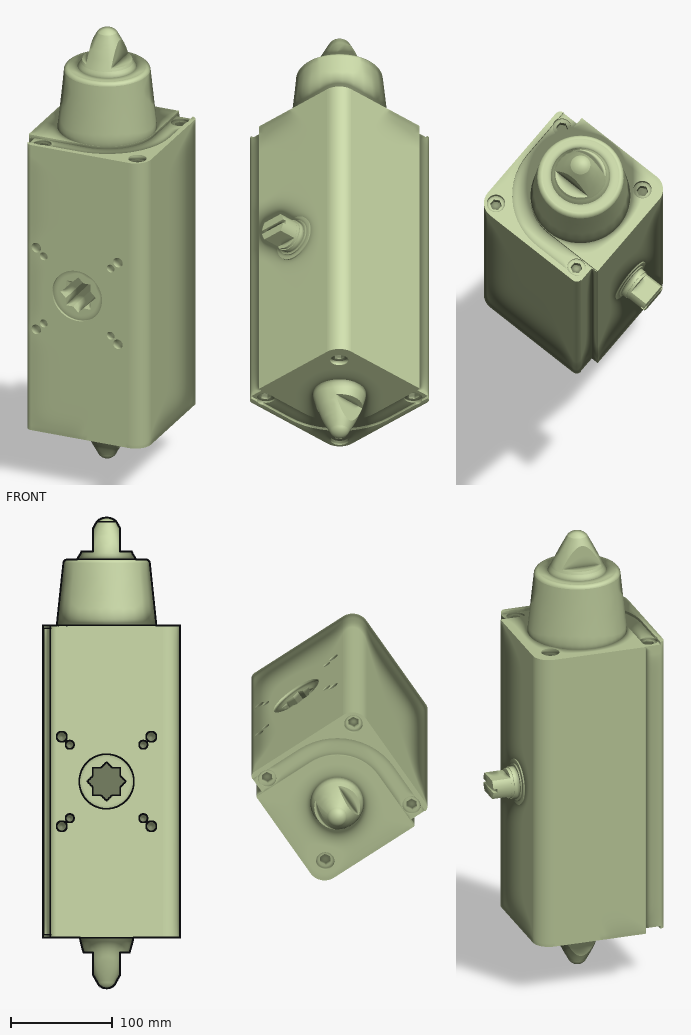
import cadquery as cq
import math

BODY_HEIGHT = 307.5
BODY_TOP = BODY_HEIGHT / 2
INNER_SIDE = 62.5
OUTER_SIDE = 72.5
NOTCH_WALL = 50.0
NOTCH_FLOOR = 55.5
BIG_CORNER = 16.5
SMALL_CORNER = 6.0
EDGE_CHAMFER = 1.0

RECESS_DEPTH = 3.0
RECESS_INNER = 49.5
RECESS_OUTER = 67.0

SCREW_CENTRE = (8.0, -8.0)
SCREW_SPACING = 102.5
SCREW_BORE_DIAMETER = 18.0
SCREW_BORE_DEPTH = 4.5
SOCKET_DIAMETER = 11.5
SOCKET_DEPTH = 7.0

MOUNTING_HOLES = [(8.5, 36.0), (10.0, 44.0)]
MOUNTING_HOLE_DEPTH = 14.0
DRILL_TIP_ANGLE = 118

COVER_BASE_RADIUS = 49.0
COVER_SHOULDER_RADIUS = 42.5
COVER_SHOULDER_HEIGHT = 61.5
COVER_TOP_RADIUS = 37.5
COVER_TOP_HEIGHT = 65.0
PEDESTAL_RADIUS = 29.0

KNOB_THICKNESS = 27.0
KNOB_RADIUS = 26.0
KNOB_TIP_RADIUS = 9.7
TOP_KNOB_START = 70.0
TOP_KNOB_FLAT_START = 73.0
TOP_KNOB_CAP_START = 102.0
TOP_KNOB_END = 106.0
TOP_KNOB_BULGE = 0.5
BOTTOM_COLLAR_RADIUS = 26.5
BOTTOM_KNOB_START = 3.0
BOTTOM_KNOB_FLAT_START = 15.0
BOTTOM_KNOB_CAP_START = 43.0
BOTTOM_KNOB_END = 50.0
BOTTOM_KNOB_BULGE = 2.0

SHAFT_DIAMETER = 54.0
SHAFT_RECESS = 3.0
SHAFT_SHOULDER_Y = 53.5
SHAFT_STEPS = [(46.0, 64.0), (37.0, 65.5), (32.0, 71.0), (30.0, 73.5), (29.5, 92.5)]
SHAFT_END_Y = SHAFT_STEPS[-1][1]
STUB_FLAT_START_Y = SHAFT_STEPS[-2][1]
STUB_FLATS = 19.5
SLOT_WIDTH = 3.5
SLOT_DEPTH = 4.0
STAR_SQUARE = 27.0
STAR_DEPTH = 69.5


def cylinder_along_y(diameter, start, end):
    plane = cq.Workplane("XZ", origin=(0, start, 0))
    return plane.circle(diameter / 2).extrude(start - end)


def make_block():
    """Extruded block with a notch at the (-X, -Y) and at the (+X, +Y) corner."""
    outline = [
        (-INNER_SIDE, INNER_SIDE),
        (NOTCH_WALL, INNER_SIDE),
        (NOTCH_WALL, NOTCH_FLOOR),
        (OUTER_SIDE, NOTCH_FLOOR),
        (OUTER_SIDE, -OUTER_SIDE),
        (-NOTCH_FLOOR, -OUTER_SIDE),
        (-NOTCH_FLOOR, -NOTCH_WALL),
        (-INNER_SIDE, -NOTCH_WALL),
    ]
    block = cq.Workplane("XY").workplane(offset=-BODY_TOP).polyline(outline).close().extrude(BODY_HEIGHT)

    def upright_edges(*corners):
        tolerance = 0.5
        edges = cq.Workplane("XY").newObject([])
        for x, y in corners:
            box = cq.selectors.BoxSelector(
                (x - tolerance, y - tolerance, -tolerance), (x + tolerance, y + tolerance, tolerance)
            )
            edges = edges.add(block.edges(box))
        return block.newObject(edges.vals())

    block = upright_edges((-INNER_SIDE, INNER_SIDE), (OUTER_SIDE, -OUTER_SIDE)).fillet(BIG_CORNER)
    block = upright_edges((OUTER_SIDE, NOTCH_FLOOR), (-NOTCH_FLOOR, -OUTER_SIDE)).fillet(SMALL_CORNER)
    return upright_edges((NOTCH_WALL, INNER_SIDE), (-INNER_SIDE, -NOTCH_WALL)).chamfer(EDGE_CHAMFER)


def end_recess(bottom):
    """Round-cornered L recess between the square part of an end face and its outer rim."""
    outer_mid = RECESS_OUTER * math.sqrt(0.5)
    inner_mid = RECESS_INNER * math.sqrt(0.5)
    return (
        cq.Workplane("XY")
        .workplane(offset=bottom)
        .moveTo(RECESS_INNER, OUTER_SIDE)
        .lineTo(RECESS_OUTER, OUTER_SIDE)
        .lineTo(RECESS_OUTER, 0)
        .threePointArc((outer_mid, -outer_mid), (0, -RECESS_OUTER))
        .lineTo(-OUTER_SIDE, -RECESS_OUTER)
        .lineTo(-OUTER_SIDE, -RECESS_INNER)
        .lineTo(0, -RECESS_INNER)
        .threePointArc((inner_mid, -inner_mid), (RECESS_INNER, 0))
        .close()
        .extrude(RECESS_DEPTH)
    )


def screw_bores(start, direction):
    """Screw head bores with hexagon sockets, cut from an end face into the block."""
    plane = cq.Workplane("XY", origin=(*SCREW_CENTRE, start))
    bores = (
        plane.rect(SCREW_SPACING, SCREW_SPACING, forConstruction=True)
        .vertices()
        .circle(SCREW_BORE_DIAMETER / 2)
        .extrude(direction * SCREW_BORE_DEPTH)
    )
    sockets = (
        plane.rect(SCREW_SPACING, SCREW_SPACING, forConstruction=True)
        .vertices()
        .polygon(6, SOCKET_DIAMETER)
        .extrude(direction * (SCREW_BORE_DEPTH + SOCKET_DEPTH))
    )
    return bores.union(sockets)


def drilled_hole(diameter, x, z):
    """Blind hole with a conical bottom, drilled into the -Y face."""
    radius = diameter / 2
    tip = radius / math.tan(math.radians(DRILL_TIP_ANGLE / 2))
    profile = [(0, 0), (radius, 0), (radius, MOUNTING_HOLE_DEPTH), (0, MOUNTING_HOLE_DEPTH + tip)]
    return (
        cq.Workplane("XY")
        .polyline(profile)
        .close()
        .revolve(360, (0, 0, 0), (0, 1, 0))
        .translate((x, -OUTER_SIDE, z))
    )


def make_cover():
    """Tapered cover with a rounded rim and a low conical pedestal."""
    rim = COVER_TOP_HEIGHT - COVER_SHOULDER_HEIGHT
    rim_mid = (
        COVER_TOP_RADIUS + (COVER_SHOULDER_RADIUS - COVER_TOP_RADIUS) * math.sqrt(0.5),
        COVER_SHOULDER_HEIGHT + rim * math.sqrt(0.5),
    )
    return (
        cq.Workplane("XZ")
        .moveTo(0, 0)
        .lineTo(COVER_BASE_RADIUS, 0)
        .lineTo(COVER_SHOULDER_RADIUS, COVER_SHOULDER_HEIGHT)
        .threePointArc(rim_mid, (COVER_TOP_RADIUS, COVER_TOP_HEIGHT))
        .lineTo(PEDESTAL_RADIUS, COVER_TOP_HEIGHT)
        .lineTo(KNOB_RADIUS, TOP_KNOB_START)
        .lineTo(0, TOP_KNOB_START)
        .close()
        .revolve(360, (0, 0, 0), (0, 1, 0))
    )


def make_bottom_collar():
    profile = [(0, 0), (BOTTOM_COLLAR_RADIUS, 0), (KNOB_RADIUS, BOTTOM_KNOB_START), (0, BOTTOM_KNOB_START)]
    return cq.Workplane("XZ").polyline(profile).close().revolve(360, (0, 0, 0), (0, 1, 0))


def make_knob(start, flat_start, cap_start, end, bulge):
    """Domed knob with a rounded tip and two flats facing +X and -X."""
    side_mid = ((KNOB_RADIUS + KNOB_TIP_RADIUS) / 2 + bulge, (start + cap_start) / 2)
    cap_height = end - cap_start
    cap_radius = (KNOB_TIP_RADIUS**2 + cap_height**2) / (2 * cap_height)
    cap_mid_x = KNOB_TIP_RADIUS / 2
    cap_mid_z = end - cap_radius + math.sqrt(cap_radius**2 - cap_mid_x**2)
    knob = (
        cq.Workplane("XZ")
        .moveTo(0, start)
        .lineTo(KNOB_RADIUS, start)
        .threePointArc(side_mid, (KNOB_TIP_RADIUS, cap_start))
        .threePointArc((cap_mid_x, cap_mid_z), (0, end))
        .close()
        .revolve(360, (0, 0, 0), (0, 1, 0))
    )
    for side in (-1, 1):
        cutter = cq.Workplane("XY").box(
            KNOB_RADIUS, 2 * COVER_BASE_RADIUS, end - flat_start, centered=(True, True, False)
        )
        knob = knob.cut(cutter.translate((side * (KNOB_THICKNESS + KNOB_RADIUS) / 2, 0, flat_start)))
    return knob


def make_housing():
    housing = make_block()

    housing = housing.cut(end_recess(BODY_TOP - RECESS_DEPTH))
    housing = housing.cut(end_recess(-BODY_TOP))
    housing = housing.cut(screw_bores(BODY_TOP, -1))
    housing = housing.cut(screw_bores(-BODY_TOP, 1))

    for diameter, offset in MOUNTING_HOLES:
        for x_side in (-1, 1):
            for z_side in (-1, 1):
                housing = housing.cut(drilled_hole(diameter, x_side * offset, z_side * offset))

    top_knob = make_knob(
        TOP_KNOB_START, TOP_KNOB_FLAT_START, TOP_KNOB_CAP_START, TOP_KNOB_END, TOP_KNOB_BULGE
    )
    bottom_knob = make_knob(
        BOTTOM_KNOB_START, BOTTOM_KNOB_FLAT_START, BOTTOM_KNOB_CAP_START, BOTTOM_KNOB_END, BOTTOM_KNOB_BULGE
    )
    top_end = make_cover().union(top_knob).translate((0, 0, BODY_TOP))
    bottom_end = make_bottom_collar().union(bottom_knob).mirror("XY").translate((0, 0, -BODY_TOP))
    housing = housing.union(top_end).union(bottom_end)

    housing = housing.cut(cylinder_along_y(SHAFT_DIAMETER, -OUTER_SIDE, SHAFT_SHOULDER_Y))
    return housing.cut(cylinder_along_y(SHAFT_STEPS[0][0], SHAFT_SHOULDER_Y, INNER_SIDE))


def make_shaft():
    front = -OUTER_SIDE + SHAFT_RECESS
    shaft = cylinder_along_y(SHAFT_DIAMETER, front, SHAFT_SHOULDER_Y)
    start = SHAFT_SHOULDER_Y
    for diameter, end in SHAFT_STEPS:
        shaft = shaft.union(cylinder_along_y(diameter, start, end))
        start = end

    for angle in (0, 45):
        square = cq.Workplane("XY").box(STAR_SQUARE, STAR_DEPTH, STAR_SQUARE)
        square = square.rotate((0, 0, 0), (0, 1, 0), angle)
        shaft = shaft.cut(square.translate((0, front + STAR_DEPTH / 2, 0)))

    flat_length = SHAFT_END_Y - STUB_FLAT_START_Y
    for side in (-1, 1):
        cutter = cq.Workplane("XY").box(SHAFT_DIAMETER, flat_length, STUB_FLATS)
        shaft = shaft.cut(cutter.translate((0, STUB_FLAT_START_Y + flat_length / 2, side * STUB_FLATS)))
    slot = cq.Workplane("XY").box(SHAFT_DIAMETER, SLOT_DEPTH, SLOT_WIDTH)
    return shaft.cut(slot.translate((0, SHAFT_END_Y - SLOT_DEPTH / 2, 0)))


housing = make_housing().solids()
shaft = make_shaft().solids()
result = cq.Compound.makeCompound([housing.val(), shaft.val()])